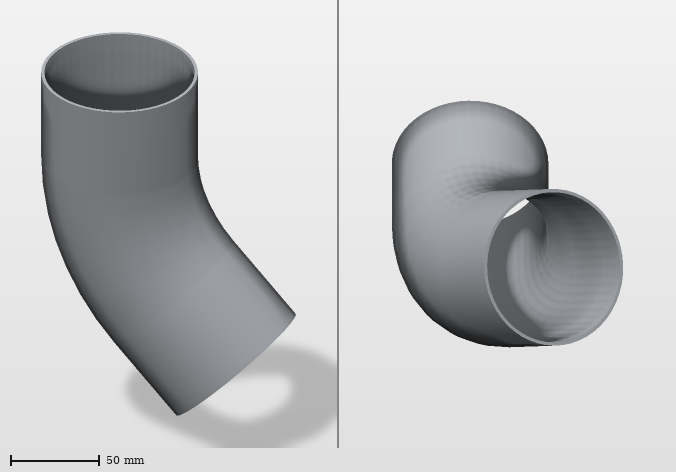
import cadquery as cq
import math

outer_diameter = 89.0
wall = 1.9
outer_radius = outer_diameter / 2
inner_radius = outer_radius - wall

overall_height = 206.3
bend_radius = 114.7
bend_angle = 45

angle = math.radians(bend_angle)
half_angle = angle / 2

bend_height = bend_radius * math.sin(angle)
rim_drop = outer_radius * math.sin(angle)
end_length = (overall_height - bend_height - rim_drop) / (1 + math.cos(angle))


def bend_point(turn):
    """Point on the bend's centreline after turning by the given angle."""
    x = bend_radius * (1 - math.cos(turn))
    z = -bend_radius * math.sin(turn)
    return x, z


bend_end = bend_point(angle)
lower_end = (
    bend_end[0] + end_length * math.sin(angle),
    bend_end[1] - end_length * math.cos(angle),
)
centreline = (
    cq.Workplane("XZ")
    .moveTo(0, end_length)
    .lineTo(0, 0)
    .threePointArc(bend_point(half_angle), bend_end)
    .lineTo(*lower_end)
)

result = (
    cq.Workplane("XY")
    .workplane(offset=end_length)
    .circle(outer_radius)
    .circle(inner_radius)
    .sweep(centreline)
)